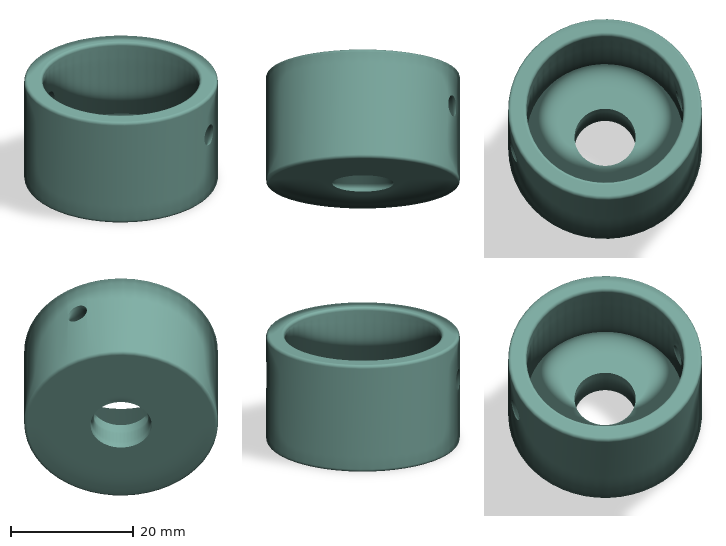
import cadquery as cq

outer_diameter = 31.75
height = 18.5
bore_diameter = 25.75
floor_thickness = 5.5
edge_radius = 0.5

floor_hole_diameter = 10.03
pin_hole_diameter = 3.5
pin_hole_drop = 7.0

body = cq.Workplane("XY").circle(outer_diameter / 2).extrude(height)
body = body.edges("%CIRCLE").fillet(edge_radius)

body = body.faces(">Z").workplane().hole(bore_diameter, height - floor_thickness)
body = body.faces(">Z").edges(cq.selectors.RadiusNthSelector(0)).fillet(edge_radius)

body = body.faces("<Z").workplane().hole(floor_hole_diameter)

pin_hole = (
    cq.Workplane("YZ")
    .center(0, height - pin_hole_drop)
    .circle(pin_hole_diameter / 2)
    .extrude(outer_diameter / 2 + edge_radius, both=True)
)

result = body.cut(pin_hole)